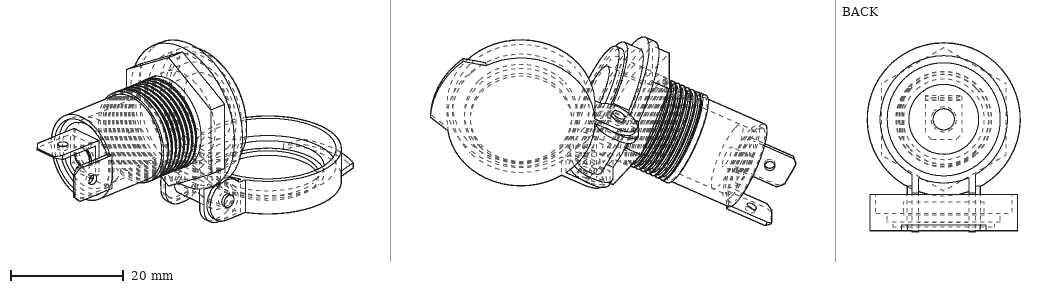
import cadquery as cq
import math


lip_radius = 10.0
lip_front_y = 6.1
body_radius = 8.5
barrel_radius = 8.0
bore_radius = 6.2
recess_radius = 7.2
recess_depth = 1.1
thread_front_y = -4.4
thread_rear_y = -11.3
collar_rear_y = -12.4
shell_rear_y = -24.3

thread_pitch = 1.0
thread_root_radius = 7.95
thread_crest_radius = 8.4
thread_start_angle = -100
ridge_base_width = 0.7
ridge_crest_width = 0.2
ridge_sink = 0.15
ridge_run_in = 0.35

flange_radius = 13.6
flange_thickness = 1.95
ring_radius = 11.3
ring_front_y = 5.1
lug_inner_x = 4.45
lug_outer_x = 5.65
lug_top_z = -9.05
lug_bottom_z = -20.0
lug_round_radius = 3.5
lug_end_y = 8.15
knuckle_radius = 2.5

nut_across_flats = 22.0
nut_thickness = 3.35

pin_radius = 1.2
pin_half_length = 7.1
pin_y = 4.7
pin_z = -15.8

cap_radius = 13.1
cap_center_y = 20.55
cap_height = 6.5
cap_arm_outer_x = 6.5
cap_arm_radius = 4.0
cap_bottom_z = pin_z - cap_arm_radius
cap_top_z = cap_bottom_z + cap_height
ring_pocket_radius = 12.1
ring_pocket_depth = 3.4
lip_pocket_depth = 4.9
floor_pocket_radius = 9.0
floor_pocket_depth = 5.8
tab_thickness = 1.05
tab_radius = 16.1
tab_tip_half_width = 6.4
tab_root_half_width = 7.45

blade_width = 6.55
blade_thickness = 0.85
blade_tip_y = -33.0
blade_corner = 1.05
blade_bevel_length = 1.1
blade_bevel_depth = 0.3
blade_hole_radius = 0.9
blade_hole_y = -28.9
center_blade_top_z = 4.2
plate_bottom_z = -3.55
side_blade_inner_x = 7.05

insulator_thickness = 2.8
rivet_radius = 1.9
rivet_head_radius = 2.2
rivet_head_height = 0.2

insulator_rear_y = shell_rear_y + recess_depth
insulator_front_y = insulator_rear_y + insulator_thickness
plate_rear_y = insulator_rear_y - blade_thickness


def disc(radius, front_y, rear_y):
    """Cylinder on the socket axis between two Y positions."""
    return cq.Workplane("XZ", origin=(0, front_y, 0)).circle(radius).extrude(front_y - rear_y)


def x_bar(radius, half_length):
    """Cylinder on the hinge axis, centered on x = 0."""
    return (
        cq.Workplane("YZ", origin=(-half_length, pin_y, pin_z))
        .circle(radius)
        .extrude(2 * half_length)
    )


def thread_ridge():
    """Helical ridge on the shell core, both ends buried in the collars."""
    start_y = thread_rear_y - ridge_run_in
    length = thread_front_y - thread_rear_y + 2 * ridge_run_in
    helix = cq.Wire.makeHelix(thread_pitch, length, thread_root_radius)
    ridge = (
        cq.Workplane("XZ")
        .polyline([
            (thread_root_radius - ridge_sink, -ridge_base_width / 2),
            (thread_crest_radius, -ridge_crest_width / 2),
            (thread_crest_radius, ridge_crest_width / 2),
            (thread_root_radius - ridge_sink, ridge_base_width / 2),
        ])
        .close()
        .sweep(cq.Workplane(helix), isFrenet=True)
    )
    ridge = ridge.rotate((0, 0, 0), (0, 0, 1), thread_start_angle)
    return ridge.rotate((0, 0, 0), (1, 0, 0), -90).translate((0, start_y, 0))


def make_shell():
    outline = [
        (0, lip_front_y),
        (lip_radius, lip_front_y),
        (lip_radius, ring_front_y),
        (body_radius, ring_front_y),
        (body_radius, thread_front_y),
        (thread_root_radius, thread_front_y),
        (thread_root_radius, thread_rear_y),
        (body_radius, thread_rear_y),
        (body_radius, collar_rear_y),
        (barrel_radius, collar_rear_y),
        (barrel_radius, shell_rear_y),
        (0, shell_rear_y),
    ]
    core = cq.Workplane("XY").polyline(outline).close().revolve(360, (0, 0), (0, 1))
    shell = core.union(thread_ridge())
    shell = shell.cut(disc(bore_radius, lip_front_y, shell_rear_y))
    return shell.cut(disc(recess_radius, insulator_rear_y, shell_rear_y))


def bracket_lug(start_x):
    """Hinge lug below the flange: a hanger flush with its rear face, ending in a rounded foot."""
    width = lug_outer_x - lug_inner_x
    round_z = lug_bottom_z + lug_round_radius
    hanger = (
        cq.Workplane("XY", origin=(start_x, 0, round_z))
        .rect(width, ring_front_y, centered=False)
        .extrude(lug_top_z - round_z)
    )
    end = (
        cq.Workplane("YZ", origin=(start_x, lug_end_y / 2, round_z))
        .slot2D(lug_end_y, 2 * lug_round_radius)
        .extrude(width)
    )
    return hanger.union(end)


def make_bracket():
    bracket = disc(flange_radius, flange_thickness, 0)
    bracket = bracket.union(disc(ring_radius, ring_front_y, 0))
    for start_x in (-lug_outer_x, lug_inner_x):
        bracket = bracket.union(bracket_lug(start_x))
    bracket = bracket.union(x_bar(knuckle_radius, lug_inner_x))
    bracket = bracket.cut(x_bar(pin_radius, lug_outer_x))
    return bracket.cut(disc(body_radius, ring_front_y, 0))


def make_nut():
    across_corners = nut_across_flats / math.cos(math.pi / 6)
    hexagon = (
        cq.Workplane("XZ")
        .transformed(rotate=(0, 0, 30))
        .polygon(6, across_corners)
        .extrude(nut_thickness)
    )
    return hexagon.cut(disc(body_radius, 0, -nut_thickness))


def cap_arm(start_x):
    """Hinge arm: a rounded eye at the pin, with a 45 degree ramp up to the cap rim."""
    reach = cap_arm_radius * math.sqrt(0.5)
    ramp_y = pin_y + reach
    ramp_z = pin_z + reach
    return (
        cq.Workplane("YZ", origin=(start_x, 0, 0))
        .moveTo(cap_center_y, cap_bottom_z)
        .lineTo(pin_y, cap_bottom_z)
        .threePointArc((pin_y - cap_arm_radius, pin_z), (ramp_y, ramp_z))
        .lineTo(ramp_y + ramp_z - cap_top_z, cap_top_z)
        .lineTo(cap_center_y, cap_top_z)
        .close()
        .extrude(cap_arm_outer_x - lug_outer_x)
    )


def cap_tab():
    """Finger tab: sides flare towards the cap, tip arc concentric with the cap."""
    tip_y = math.sqrt(tab_radius**2 - tab_tip_half_width**2)
    root_y = math.sqrt(cap_radius**2 - tab_root_half_width**2)
    return (
        cq.Workplane("XY", origin=(0, cap_center_y, cap_bottom_z))
        .moveTo(-tab_root_half_width, root_y)
        .lineTo(-tab_tip_half_width, tip_y)
        .threePointArc((0, tab_radius), (tab_tip_half_width, tip_y))
        .lineTo(tab_root_half_width, root_y)
        .lineTo(0, 0)
        .close()
        .extrude(tab_thickness)
    )


def make_cap():
    cap = (
        cq.Workplane("XY", origin=(0, cap_center_y, cap_bottom_z))
        .circle(cap_radius)
        .extrude(cap_height)
    )
    cap = cap.union(cap_tab())
    for start_x in (-cap_arm_outer_x, lug_outer_x):
        cap = cap.union(cap_arm(start_x))
    pockets = [
        (ring_pocket_radius, ring_pocket_depth),
        (lip_radius, lip_pocket_depth),
        (floor_pocket_radius, floor_pocket_depth),
    ]
    for radius, depth in pockets:
        pocket = (
            cq.Workplane("XY", origin=(0, cap_center_y, cap_top_z - depth))
            .circle(radius)
            .extrude(depth)
        )
        cap = cap.cut(pocket)
    return cap.cut(x_bar(pin_radius, cap_arm_outer_x))


def terminal_blade(base_y):
    """Flat blade along Y, its thickness from z = 0 upwards, with cut corners and a beveled tip."""
    half = blade_width / 2
    corner_y = blade_tip_y + blade_corner
    plan = (
        cq.Workplane("XY")
        .polyline([
            (-half, base_y),
            (-half, corner_y),
            (blade_corner - half, blade_tip_y),
            (half - blade_corner, blade_tip_y),
            (half, corner_y),
            (half, base_y),
        ])
        .close()
        .extrude(blade_thickness)
    )
    bevel_y = blade_tip_y + blade_bevel_length
    side = (
        cq.Workplane("YZ", origin=(-half, 0, 0))
        .polyline([
            (base_y, 0),
            (bevel_y, 0),
            (blade_tip_y, blade_bevel_depth),
            (blade_tip_y, blade_thickness - blade_bevel_depth),
            (bevel_y, blade_thickness),
            (base_y, blade_thickness),
        ])
        .close()
        .extrude(blade_width)
    )
    hole = (
        cq.Workplane("XY", origin=(0, blade_hole_y, 0))
        .circle(blade_hole_radius)
        .extrude(blade_thickness)
    )
    return plan.intersect(side).cut(hole)


def make_center_terminal():
    """L-shaped terminal: a plate on the insulator, and a blade bent out of its top."""
    blade = terminal_blade(insulator_rear_y).translate((0, 0, center_blade_top_z - blade_thickness))
    plate = (
        cq.Workplane("XY", origin=(0, plate_rear_y + blade_thickness / 2, plate_bottom_z))
        .rect(blade_width, blade_thickness)
        .extrude(center_blade_top_z - plate_bottom_z)
        .faces("<Z")
        .edges("|Y")
        .chamfer(blade_corner)
    )
    rivet_hole = disc(rivet_radius, insulator_rear_y, plate_rear_y)
    return blade.union(plate).cut(rivet_hole)


def make_side_terminal():
    """Upright blade on the rear rim of the shell."""
    blade = terminal_blade(shell_rear_y).rotate((0, 0, 0), (0, 1, 0), 90)
    return blade.translate((side_blade_inner_x, 0, 0))


def make_insulator():
    insulator = disc(bore_radius, insulator_front_y, insulator_rear_y)
    return insulator.cut(disc(rivet_radius, insulator_front_y, insulator_rear_y))


def make_rivet():
    """Rivet that clamps the center terminal to the insulator, with a conical head."""
    outline = [
        (0, insulator_front_y),
        (rivet_radius, insulator_front_y),
        (rivet_radius, plate_rear_y),
        (rivet_head_radius, plate_rear_y),
        (rivet_radius, plate_rear_y - rivet_head_height),
        (0, plate_rear_y - rivet_head_height),
    ]
    return cq.Workplane("XY").polyline(outline).close().revolve(360, (0, 0), (0, 1))


shell = make_shell()
bracket = make_bracket()
nut = make_nut()
cap = make_cap()
hinge_pin = x_bar(pin_radius, pin_half_length)
center_terminal = make_center_terminal()
side_terminal = make_side_terminal()
insulator = make_insulator()
rivet = make_rivet()

result = cq.Compound.makeCompound([
    shell.val(),
    bracket.val(),
    nut.val(),
    cap.val(),
    hinge_pin.val(),
    center_terminal.val(),
    side_terminal.val(),
    insulator.val(),
    rivet.val(),
])